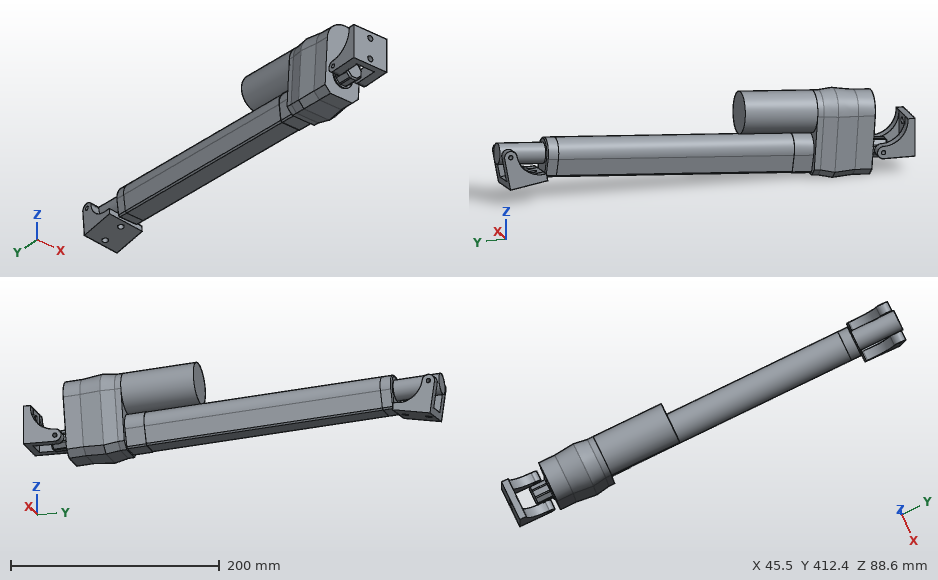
import cadquery as cq
import math

TILT = 3.75
ORIGIN = (0, 0, 0)
X_AXIS = (1, 0, 0)
Y_AXIS = (0, 1, 0)

BRACKET_WIDTH = 41.0
BRACKET_REACH = 37.5
PLATE_HEIGHT = 38.0
PLATE_THICKNESS = 7.0
EAR_RADIUS = 6.0
PIVOT_REACH = BRACKET_REACH - EAR_RADIUS
SLOT_WIDTH = 21.5
PIVOT_HOLE = 4.0
SCREW_HOLE = 6.0
SCREW_HEIGHTS = (7.0, 30.5)
FRONT_BRACKET_PITCH = 80.5
FRONT_BRACKET_ROLL = 4.5

GEARBOX_REAR = 10.7
REAR_TAPER_START = 27.5
WAIST = 48.3
FRONT_TAPER_END = 62.3
GEARBOX_FRONT = 68.5
REAR_COLLAR_END = 88.0
FRONT_COLLAR_START = 324.0
TUBE_FRONT = 335.5
MOTOR_FRONT = 141.0
FRONT_PIVOT = 373.5
ROD_TIP = 381.0

GEARBOX_RADIUS = 20.5
WAIST_GROWTH = 2.0
MOTOR_HEIGHT = 36.7
GEARBOX_DROP = 23.0
GEARBOX_CHAMFER = 7.0

MOTOR_RADIUS = 20.5
ROD_RADIUS = 10.5

TUBE_RADIUS = 15.3
TUBE_DROP = 21.0
TUBE_SIDE_LEAN = 10.0
TUBE_CHAMFER = 1.5
TUBE_NOSE_CHAMFER = 1.2
REAR_COLLAR_GROWTH = 0.5

LUG_TIP = -8.0
LUG_COLLAR_LENGTH = 1.2
LUG_COLLAR_RADIUS = 11.5
LUG_SIDES = 8
LUG_FLATS = 18.5
LUG_CORNER_CHAMFER = 1.0
LUG_TIP_CHAMFER = 1.5


def section_at(station):
    """Workplane across the stroke axis; extruding by a negative length goes toward +Y."""
    return cq.Workplane("XZ", origin=(0, station, 0))


def tilted(body):
    """Turns a body from the stroke axis frame to its final tilt."""
    return body.rotate(ORIGIN, X_AXIS, TILT)


def make_bracket():
    """L-shaped fork, pivot at the origin, plate toward -Y and the straight back of the ears at -Z."""
    plate_back = -PIVOT_REACH
    plate_face = plate_back + PLATE_THICKNESS
    plate_top = PLATE_HEIGHT - EAR_RADIUS
    sweep_radius = -plate_face
    sweep_inset = sweep_radius * (1 - math.sqrt(0.5))
    sweep_middle = (plate_face + sweep_inset, EAR_RADIUS + sweep_inset)
    profile = (
        cq.Workplane("YZ", origin=(-BRACKET_WIDTH / 2, 0, 0))
        .moveTo(plate_back, -EAR_RADIUS)
        .lineTo(0, -EAR_RADIUS)
        .threePointArc((EAR_RADIUS, 0), (0, EAR_RADIUS))
        .threePointArc(sweep_middle, (plate_face, EAR_RADIUS + sweep_radius))
        .lineTo(plate_face, plate_top)
        .lineTo(plate_back, plate_top)
        .close()
        .extrude(BRACKET_WIDTH)
    )
    slot_length = BRACKET_REACH - PLATE_THICKNESS
    slot = (
        cq.Workplane("XY")
        .box(SLOT_WIDTH, slot_length, 2 * PLATE_HEIGHT, centered=(True, False, True))
        .translate((0, plate_face, 0))
    )
    pivot_hole = cq.Workplane("YZ").circle(PIVOT_HOLE / 2).extrude(BRACKET_WIDTH, both=True)
    screw_holes = (
        section_at(plate_face)
        .pushPoints([(0, height - EAR_RADIUS) for height in SCREW_HEIGHTS])
        .circle(SCREW_HOLE / 2)
        .extrude(PLATE_THICKNESS)
    )
    return profile.cut(slot).cut(pivot_hole).cut(screw_holes)


def gearbox_outline(station, growth):
    """Wire of the gearbox section: round crown, straight sides, chamfered bottom."""
    half_width = GEARBOX_RADIUS + growth
    bottom = -GEARBOX_DROP - growth
    flat_half = half_width - GEARBOX_CHAMFER
    chamfer_top = bottom + GEARBOX_CHAMFER
    outline = (
        section_at(station)
        .moveTo(-flat_half, bottom)
        .lineTo(flat_half, bottom)
        .lineTo(half_width, chamfer_top)
        .lineTo(half_width, MOTOR_HEIGHT)
        .threePointArc((0, MOTOR_HEIGHT + half_width), (-half_width, MOTOR_HEIGHT))
        .lineTo(-half_width, chamfer_top)
        .close()
    )
    return outline.val()


def make_gearbox():
    """Straight ends joined by two tapers that meet at the waist."""
    stations = (
        (GEARBOX_REAR, 0),
        (REAR_TAPER_START, 0),
        (WAIST, WAIST_GROWTH),
        (FRONT_TAPER_END, 0),
        (GEARBOX_FRONT, 0),
    )
    outlines = [gearbox_outline(station, growth) for station, growth in stations]
    return cq.Workplane(cq.Solid.makeLoft(outlines, True))


def make_motor():
    """Cylinder lying above the tube, standing on the gearbox front face."""
    return (
        section_at(GEARBOX_FRONT)
        .center(0, MOTOR_HEIGHT)
        .circle(MOTOR_RADIUS)
        .extrude(GEARBOX_FRONT - MOTOR_FRONT)
    )


def make_tube_piece(start, end, growth=0):
    """Length of the tube section between two stations, widened all around by the growth."""
    lean = math.radians(TUBE_SIDE_LEAN)
    radius = TUBE_RADIUS + growth
    bottom_z = -TUBE_DROP - growth
    tangent_x = radius * math.cos(lean)
    tangent_z = -radius * math.sin(lean)
    chamfer_z = bottom_z + TUBE_CHAMFER
    chamfer_x = tangent_x - (tangent_z - chamfer_z) * math.tan(lean)
    bottom_x = chamfer_x - TUBE_CHAMFER
    return (
        section_at(start)
        .moveTo(-bottom_x, bottom_z)
        .lineTo(bottom_x, bottom_z)
        .lineTo(chamfer_x, chamfer_z)
        .lineTo(tangent_x, tangent_z)
        .threePointArc((0, radius), (-tangent_x, tangent_z))
        .lineTo(-chamfer_x, chamfer_z)
        .close()
        .extrude(start - end)
    )


def make_front_collar():
    """Tube piece with a chamfered front edge."""
    return make_tube_piece(FRONT_COLLAR_START, TUBE_FRONT).faces(">Y").chamfer(TUBE_NOSE_CHAMFER)


def make_rod():
    """Plain round rod from the tube front to the front bracket."""
    return section_at(TUBE_FRONT).circle(ROD_RADIUS).extrude(TUBE_FRONT - ROD_TIP)


def make_rear_lug():
    """Octagonal stub with chamfered corners and tip, and a thin round collar at its root."""
    stub = (
        section_at(GEARBOX_REAR)
        .polygon(LUG_SIDES, LUG_FLATS, circumscribed=True)
        .extrude(GEARBOX_REAR - LUG_TIP)
        .edges("|Y")
        .chamfer(LUG_CORNER_CHAMFER)
        .faces("<Y")
        .chamfer(LUG_TIP_CHAMFER)
    )
    collar = section_at(GEARBOX_REAR).circle(LUG_COLLAR_RADIUS).extrude(LUG_COLLAR_LENGTH)
    return stub.union(collar)


rear_bracket = make_bracket()
front_bracket = tilted(
    make_bracket()
    .rotate(ORIGIN, X_AXIS, FRONT_BRACKET_PITCH - TILT)
    .rotate(ORIGIN, Y_AXIS, FRONT_BRACKET_ROLL)
    .translate((0, FRONT_PIVOT, 0))
)
rear_lug = tilted(make_rear_lug())
gearbox = tilted(make_gearbox())
motor = tilted(make_motor())
rear_collar = tilted(make_tube_piece(GEARBOX_FRONT, REAR_COLLAR_END, REAR_COLLAR_GROWTH))
tube = tilted(make_tube_piece(REAR_COLLAR_END, FRONT_COLLAR_START))
front_collar = tilted(make_front_collar())
rod = tilted(make_rod())

bodies = [rear_bracket, front_bracket, rear_lug, gearbox, motor, rear_collar, tube, front_collar, rod]
result = cq.Compound.makeCompound([body.val() for body in bodies])